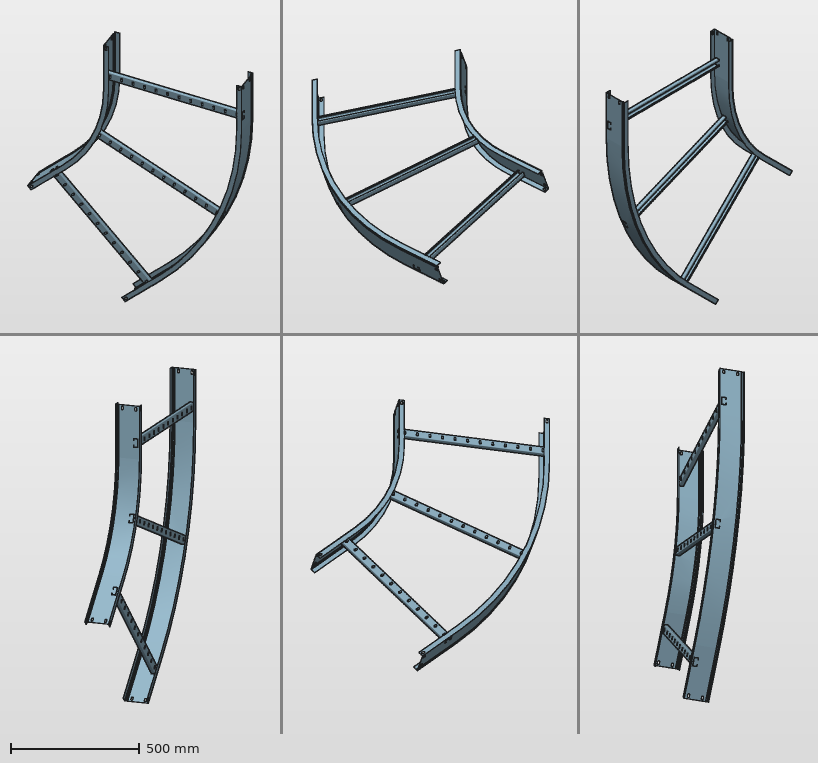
import cadquery as cq
import math


overall_height = 1220.0
bend_angle = 45.0
inner_radius = 605.0
rail_spacing = 600.0
outer_radius = inner_radius + rail_spacing
bend_sin = math.sin(math.radians(bend_angle))
bend_cos = math.cos(math.radians(bend_angle))
straight_length = (overall_height - outer_radius * bend_sin) / (1 + bend_cos)

rail_depth = 100.0
flange_width = 22.0
sheet = 1.5
groove_depth = 4.0
groove_start = 4.0
groove_ramp = 2.0
groove_floor = 5.0

slot_width = 7.0
slot_length = 15.0
slot_end_distance = 13.0
web_slot_heights = (16.0, 72.0)

rung_height = 35.0
rung_depth = 18.0
rung_front = 7.0
rung_lip = 9.0
rung_corner_radius = 2.2
rung_straight_offset = 66.0
middle_rung_angle = 22.0
rung_stations = (
    (0, rung_straight_offset),
    (middle_rung_angle, 0),
    (bend_angle, -rung_straight_offset),
)

hole_pitch = 50.0
hole_count = 12
hole_width = 7.0
hole_height = 15.0


def at_station(shape, angle, before_bend):
    """Move a shape up along the first straight stretch, then turn it round the bend axis."""
    return shape.translate((0, 0, before_bend)).rotate((0, 0, 0), (0, 1, 0), angle)


def rail_blank(web_radius, flange_side):
    """Bent C section; flange_side is +1 if the flanges point away from the bend axis, else -1."""
    groove_end = groove_start + 2 * groove_ramp + groove_floor
    back = rail_depth
    web_line = [
        (0, back - groove_end),
        (groove_depth, back - groove_end + groove_ramp),
        (groove_depth, back - groove_start - groove_ramp),
        (0, back - groove_start),
    ]
    outside = [(0, 0)] + web_line + [(0, back), (flange_width, back)]
    inside = [(flange_width, back - sheet), (sheet, back - sheet)]
    inside += [(depth + sheet, y) for depth, y in reversed(web_line)]
    inside += [(sheet, sheet), (flange_width, sheet), (flange_width, 0)]
    section = [(web_radius + flange_side * depth, y) for depth, y in outside + inside]

    half_angle = math.radians(bend_angle / 2)
    bend_middle = (web_radius * math.cos(half_angle), -web_radius * math.sin(half_angle))
    bend_end = (web_radius * bend_cos, -web_radius * bend_sin)
    path = (
        cq.Workplane("XZ")
        .moveTo(web_radius, straight_length)
        .lineTo(web_radius, 0)
        .threePointArc(bend_middle, bend_end)
        .lineTo(bend_end[0] - straight_length * bend_sin, bend_end[1] - straight_length * bend_cos)
    )
    return cq.Workplane("XY", origin=(0, 0, straight_length)).polyline(section).close().sweep(path)


def end_slots(web_radius, flange_side):
    """Cutters for one rail end: two slots through the web, one through the front flange."""
    web_slots = (
        cq.Workplane("YZ", origin=(web_radius, 0, 0))
        .pushPoints([(y, 0) for y in web_slot_heights])
        .slot2D(slot_length, slot_width, 90)
        .extrude(flange_width / 2, both=True)
    )
    flange_slot = (
        cq.Workplane("XZ", origin=(web_radius + flange_side * flange_width / 2, 0, 0))
        .slot2D(slot_length, slot_width, 90)
        .extrude(2 * sheet, both=True)
    )
    return web_slots.add(flange_slot).combine()


def rung_blank():
    """Lipped C section, open to the back, reaching through both webs to their outside faces."""
    origin = (inner_radius, rung_front + rung_depth / 2, 0)
    tube = (
        cq.Workplane("YZ", origin=origin)
        .rect(rung_depth, rung_height)
        .extrude(rail_spacing)
        .edges("|X")
        .fillet(rung_corner_radius)
    )
    bore = (
        cq.Workplane("YZ", origin=origin)
        .rect(rung_depth - 2 * sheet, rung_height - 2 * sheet)
        .extrude(rail_spacing)
        .edges("|X")
        .fillet(rung_corner_radius - sheet)
    )
    mouth = (
        cq.Workplane("YZ", origin=origin)
        .center(rung_depth / 2, 0)
        .rect(rung_depth, rung_height - 2 * rung_lip)
        .extrude(rail_spacing)
    )
    return tube.cut(bore).cut(mouth)


def make_rung():
    """Rung with a row of upright slots through its front face."""
    holes = (
        cq.Workplane("XZ", origin=(inner_radius + rail_spacing / 2, rung_front, 0))
        .rarray(hole_pitch, 12, hole_count, 1)
        .slot2D(hole_height, hole_width, 90)
        .extrude(2 * sheet, both=True)
    )
    return rung_blank().cut(holes)


def make_rail(web_radius, flange_side):
    """Side rail with its end slots and a matching opening for each rung."""
    rail = rail_blank(web_radius, flange_side)
    slots = end_slots(web_radius, flange_side)
    slot_position = straight_length - slot_end_distance
    rail = rail.cut(at_station(slots, 0, slot_position))
    rail = rail.cut(at_station(slots, bend_angle, -slot_position))
    for angle, before_bend in rung_stations:
        rail = rail.cut(at_station(rung_blank(), angle, before_bend))
    return rail


inner_rail = make_rail(inner_radius, 1)
outer_rail = make_rail(outer_radius, -1)
rungs = [at_station(make_rung(), angle, before_bend) for angle, before_bend in rung_stations]

result = cq.Compound.makeCompound(
    [inner_rail.val(), outer_rail.val(), *[rung.val() for rung in rungs]]
)